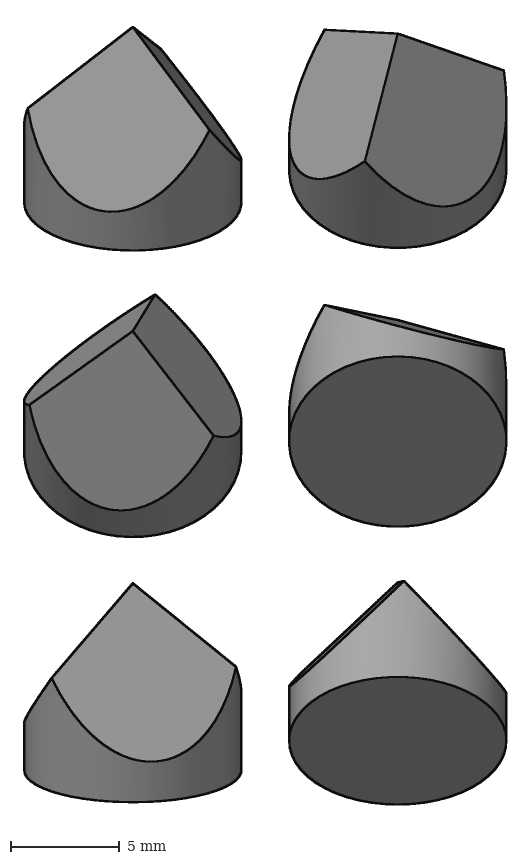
import cadquery as cq
import math

diameter = 10.0
height = 9.0
face_count = 3
first_face_angle = 180.0
face_slope = math.sqrt(2)

wedge_reach = 0.6 * diameter


def face_wedge(angle):
    """Material above one sloping face that descends from the apex."""
    wedge = (
        cq.Workplane("XZ")
        .moveTo(0, height)
        .lineTo(wedge_reach, height - face_slope * wedge_reach)
        .lineTo(wedge_reach, height)
        .close()
        .extrude(wedge_reach, both=True)
    )
    return wedge.rotate((0, 0, 0), (0, 0, 1), angle)


result = cq.Workplane("XY").circle(diameter / 2).extrude(height)
for index in range(face_count):
    result = result.cut(face_wedge(first_face_angle + index * 360 / face_count))